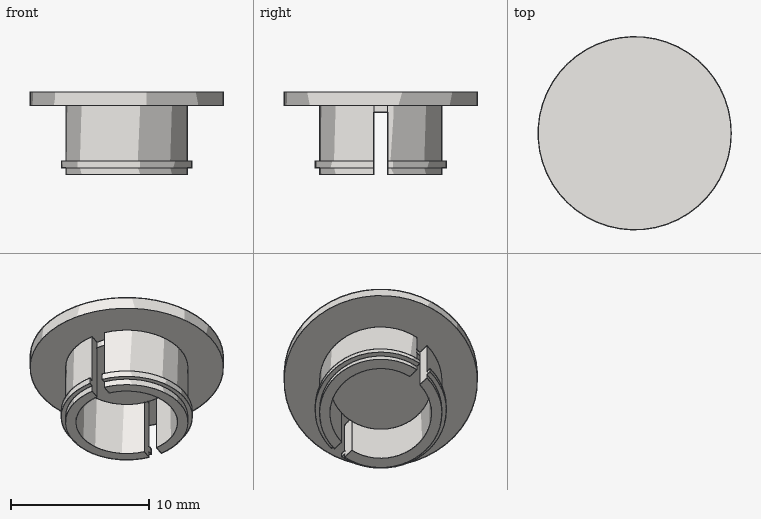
import cadquery as cq

total_height = 6.0
flange_diameter = 14.0
flange_thickness = 1.0
shank_diameter = 8.86
wall_thickness = 0.75
floor_thickness = 0.5
snap_ring_diameter = 9.5
snap_ring_height = 0.5
snap_ring_bottom = 0.5
slot_width = 1.0

shank_height = total_height - flange_thickness
bore_diameter = shank_diameter - 2 * wall_thickness
floor_bottom = shank_height - floor_thickness


def disc(diameter, bottom, height):
    """Solid cylinder on the Z axis, standing on the given level."""
    return cq.Workplane("XY").workplane(offset=bottom).circle(diameter / 2).extrude(height)


shank = disc(shank_diameter, 0, shank_height)
snap_ring = disc(snap_ring_diameter, snap_ring_bottom, snap_ring_height)
bore = disc(bore_diameter, 0, shank_height)
wall = shank.union(snap_ring).cut(bore)

slot = cq.Workplane("XY").rect(flange_diameter, slot_width).extrude(shank_height)
split_wall = wall.cut(slot)

flange = disc(flange_diameter, shank_height, flange_thickness)
floor = disc(bore_diameter, floor_bottom, floor_thickness)

result = flange.union(floor).union(split_wall)